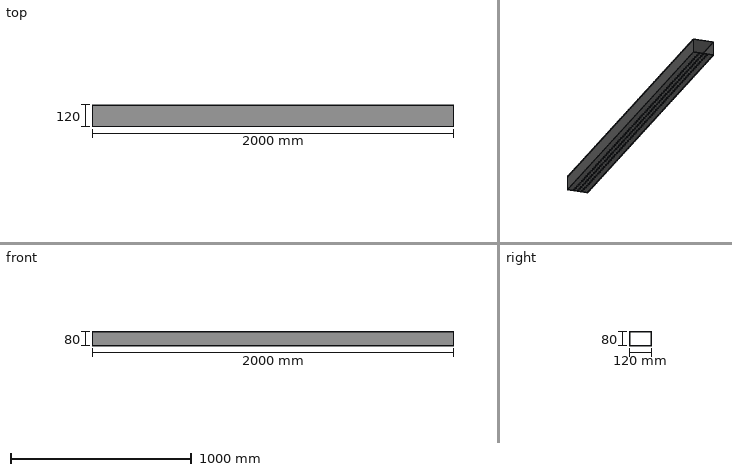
import cadquery as cq

LENGTH = 2000.0
WIDTH = 120.0
HEIGHT = 80.0
WALL = 2.0

HOLE_DIAMETER = 8.0
HOLES_PER_ROW = 80
ROWS = 3
ROW_SPACING = 25.0
HOLE_SPACING = LENGTH / HOLES_PER_ROW


def make_tube():
    """Thin-walled rectangular tube centred on the X axis."""
    outside = cq.Workplane("XY").box(LENGTH, WIDTH, HEIGHT)
    bore = cq.Workplane("XY").box(LENGTH, WIDTH - 2 * WALL, HEIGHT - 2 * WALL)
    return outside.cut(bore)


def make_floor_holes():
    """Grid of pins that pass through the floor only, centred on the duct."""
    return (
        cq.Workplane("XY", origin=(0, 0, -HEIGHT / 2))
        .rarray(HOLE_SPACING, ROW_SPACING, HOLES_PER_ROW, ROWS)
        .circle(HOLE_DIAMETER / 2)
        .extrude(WALL)
    )


result = make_tube().cut(make_floor_holes())